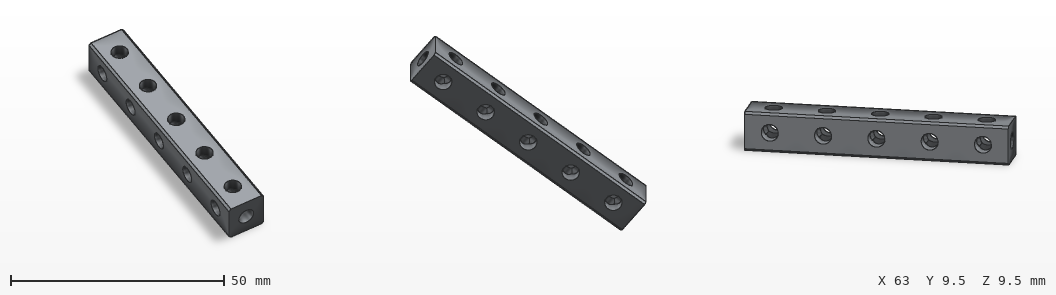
import cadquery as cq

length = 63.0
width = 9.5
edge_chamfer = 0.55

hole_diameter = 4.0
hole_count = 5
hole_pitch = 12.7


def drill_row(body, face):
    """Drill the evenly spaced row of cross holes from one long side through to the other."""
    return (
        body.faces(face)
        .workplane(origin=(0, 0, 0))
        .rarray(hole_pitch, 0.6, hole_count, 1)
        .hole(hole_diameter)
    )


bar = cq.Workplane("XY").box(length, width, width).edges("|X").chamfer(edge_chamfer)

for side in (">Z", "<Y"):
    bar = drill_row(bar, side)

result = bar.faces("<X").workplane(origin=(0, 0, 0)).hole(hole_diameter)